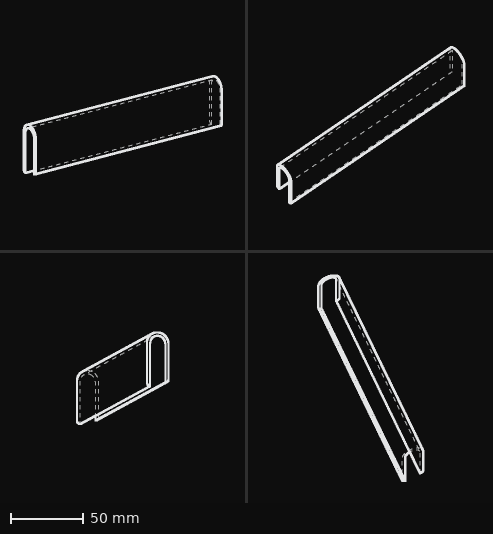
import cadquery as cq
import math

length = 152.4
width = 15.8
height = 38.1
wall = 2.5
leg_difference = 3.2

outer_radius = width / 2
inner_radius = outer_radius - wall
long_leg_end = -height / 2
short_leg_end = long_leg_end + leg_difference
bend_center = height / 2 - outer_radius

tip_radius = wall
tip_mid = tip_radius * math.sqrt(0.5)
long_tip_center = long_leg_end + tip_radius
short_tip_center = short_leg_end + tip_radius

profile = (
    cq.Workplane("XZ")
    .moveTo(-inner_radius, long_leg_end)
    .threePointArc(
        (-inner_radius - tip_mid, long_tip_center - tip_mid),
        (-outer_radius, long_tip_center),
    )
    .lineTo(-outer_radius, bend_center)
    .threePointArc((0, bend_center + outer_radius), (outer_radius, bend_center))
    .lineTo(outer_radius, short_tip_center)
    .threePointArc(
        (inner_radius + tip_mid, short_tip_center - tip_mid),
        (inner_radius, short_leg_end),
    )
    .lineTo(inner_radius, bend_center)
    .threePointArc((0, bend_center + inner_radius), (-inner_radius, bend_center))
    .close()
)

result = profile.extrude(length / 2, both=True)